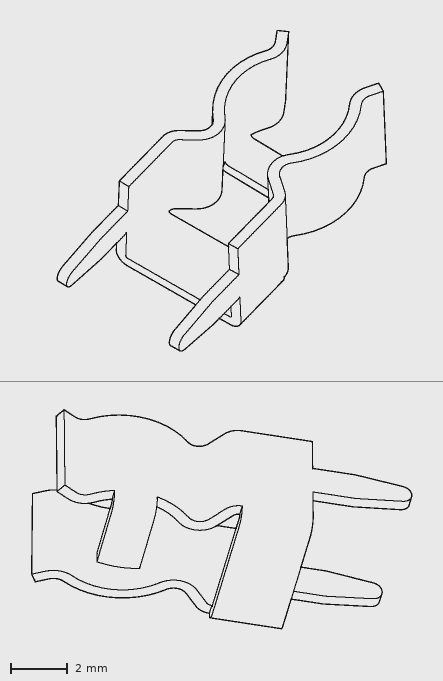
import cadquery as cq
import math

sheet = 0.42
body_width = 5.49
base_length = 2.56
base_bend_radius = 0.5
wall_lean = 2.0
wall_height = 3.88

grip_radius = 2.5
grip_y = 6.35
left_grip_inset = 0.08
right_grip_inset = 0.035
neck_radius = 0.5
rear_neck_drop = 2.39
mouth_neck_rise = 1.84
shoulder_radius = 0.7
lip_angle = 30.0
mouth_y = 9.10

pin_length = 3.57
pin_straight = 1.54
pin_width = 1.22
pin_tip_radius = 0.39
pin_height = 1.89

tab_width = 1.54
tab_bend_radius = 0.67
tab_end_x = 0.42

wall_x = -body_width / 2
hinge_x = wall_x + base_bend_radius
hinge_z = base_bend_radius
grip_outer_radius = grip_radius + sheet
neck_outer_radius = neck_radius + sheet


def polar(center, radius, degrees):
    """Point at a distance and direction from a centre."""
    angle = math.radians(degrees)
    return (center[0] + radius * math.cos(angle), center[1] + radius * math.sin(angle))


def arm_bends(grip_inset):
    """Plan-view bends of an arm, at the left: the shoulder, then the three that run on from each other.

    Each is (center, outer face radius, inner face radius, start angle, end angle).
    """
    grip_x = wall_x + grip_inset + grip_outer_radius
    center_distance = grip_outer_radius + neck_radius
    rear_turn = math.asin(rear_neck_drop / center_distance)
    mouth_turn = math.asin(mouth_neck_rise / center_distance)
    rear_center = (grip_x - center_distance * math.cos(rear_turn), grip_y - rear_neck_drop)
    mouth_center = (grip_x - center_distance * math.cos(mouth_turn), grip_y + mouth_neck_rise)
    rear_turn = math.degrees(rear_turn)
    mouth_turn = math.degrees(mouth_turn)

    shoulder_center = (wall_x + shoulder_radius, base_length)
    run_x = rear_center[0] - shoulder_center[0]
    run_y = rear_center[1] - shoulder_center[1]
    flank_tilt = math.asin((shoulder_radius + neck_radius) / math.hypot(run_x, run_y))
    flank_angle = math.degrees(flank_tilt + math.atan2(run_x, run_y))

    shoulder_bend = (shoulder_center, shoulder_radius, shoulder_radius - sheet, 180, 180 - flank_angle)
    chain = [
        (rear_center, neck_radius, neck_outer_radius, -flank_angle, rear_turn),
        ((grip_x, grip_y), grip_outer_radius, grip_radius, 180 + rear_turn, 180 - mouth_turn),
        (mouth_center, neck_radius, neck_outer_radius, -mouth_turn, lip_angle),
    ]
    return shoulder_bend, chain


def add_arc(path, center, radius, start, end):
    """Continue a path, already at the arc's start, along the arc."""
    return path.threePointArc(polar(center, radius, (start + end) / 2), polar(center, radius, end))


def wall_and_arm(grip_inset):
    """Left wall, upright on Z = 0, with the curved arm that carries on from it."""
    shoulder_bend, chain = arm_bends(grip_inset)
    shoulder_center, shoulder_outer, shoulder_inner, shoulder_start, shoulder_end = shoulder_bend
    rear_center, rear_outer, _, rear_start, _ = chain[0]
    mouth_center, _, mouth_inner, _, _ = chain[-1]
    lip_start = polar(mouth_center, mouth_inner, lip_angle)
    lip_length = (mouth_y - lip_start[1]) / math.cos(math.radians(lip_angle))
    lip_inner = polar(lip_start, lip_length, 90 + lip_angle)
    lip_outer = polar(lip_inner, sheet, 180 + lip_angle)

    path = cq.Workplane("XY").moveTo(wall_x, 0)
    path = path.lineTo(*polar(shoulder_center, shoulder_outer, shoulder_start))
    path = add_arc(path, shoulder_center, shoulder_outer, shoulder_start, shoulder_end)
    path = path.lineTo(*polar(rear_center, rear_outer, rear_start))
    for center, outer, _, start, end in chain:
        path = add_arc(path, center, outer, start, end)
    path = path.lineTo(*lip_outer)

    path = path.lineTo(*lip_inner).lineTo(*lip_start)
    for center, _, inner, start, end in reversed(chain):
        path = add_arc(path, center, inner, end, start)
    path = path.lineTo(*polar(shoulder_center, shoulder_inner, shoulder_end))
    path = add_arc(path, shoulder_center, shoulder_inner, shoulder_end, shoulder_start)
    return path.lineTo(wall_x + sheet, 0).close().extrude(wall_height)


def pin():
    """Tapered, round-ended solder pin in the plane of the left wall."""
    half_width = pin_width / 2
    tip_center = (pin_tip_radius - pin_length, pin_height)
    run = pin_length - pin_straight - pin_tip_radius
    taper = math.atan2(half_width, run) - math.asin(pin_tip_radius / math.hypot(run, half_width))
    taper = math.degrees(taper)
    upper_tangent = polar(tip_center, pin_tip_radius, 90 + taper)
    lower_tangent = polar(tip_center, pin_tip_radius, 270 - taper)
    tip = polar(tip_center, pin_tip_radius, 180)
    return (
        cq.Workplane("YZ", origin=(wall_x, 0, 0))
        .moveTo(0, pin_height + half_width)
        .lineTo(-pin_straight, pin_height + half_width)
        .lineTo(*upper_tangent)
        .threePointArc(tip, lower_tangent)
        .lineTo(-pin_straight, pin_height - half_width)
        .lineTo(0, pin_height - half_width)
        .close()
        .extrude(sheet)
    )


def tab():
    """Tongue folded inward from the foot of the grip; it keeps the grip's arched section."""
    half_width = tab_width / 2
    outer_sag = grip_outer_radius - math.sqrt(grip_outer_radius ** 2 - half_width ** 2)
    inner_sag = grip_radius - math.sqrt(grip_radius ** 2 - half_width ** 2)
    fold_x = wall_x + left_grip_inset + tab_bend_radius

    def section():
        """Arched section hanging below the fold axis; first axis is Y, second is Z."""
        bottom = -tab_bend_radius
        return (
            cq.Workplane("YZ", origin=(fold_x, grip_y, 0))
            .moveTo(-half_width, bottom + outer_sag)
            .threePointArc((0, bottom), (half_width, bottom + outer_sag))
            .lineTo(half_width, bottom + sheet + inner_sag)
            .threePointArc((0, bottom + sheet), (-half_width, bottom + sheet + inner_sag))
            .close()
        )

    fold = section().revolve(90, (0, 0), (1, 0))
    tongue = section().extrude(tab_end_x - fold_x)
    return fold.union(tongue)


def lean(upright):
    """Tilt a left wall inward about the axis of its base bend."""
    return upright.rotate((hinge_x, 0, hinge_z), (hinge_x, 1, hinge_z), wall_lean)


def base_bend():
    """Bend joining the base to the left wall."""
    center = (hinge_x, hinge_z)
    inner_radius = base_bend_radius - sheet
    start = 180 - wall_lean
    middle = (start + 270) / 2
    return (
        cq.Workplane("XZ")
        .moveTo(*polar(center, base_bend_radius, start))
        .threePointArc(polar(center, base_bend_radius, middle), polar(center, base_bend_radius, 270))
        .lineTo(*polar(center, inner_radius, 270))
        .threePointArc(polar(center, inner_radius, middle), polar(center, inner_radius, start))
        .close()
        .extrude(-base_length)
    )


def base():
    """Flat strip between the two base bends."""
    flat_width = -2 * hinge_x
    return cq.Workplane("XY").box(flat_width, base_length, sheet, centered=(True, False, False))


def side(grip_inset, with_tab):
    """Leaning wall with its arm, pin and base bend, at the left of the base."""
    upright = wall_and_arm(grip_inset).union(pin())
    if with_tab:
        upright = upright.union(tab())
    return lean(upright.translate((0, 0, hinge_z))).union(base_bend())


left_side = side(left_grip_inset, with_tab=True)
right_side = side(right_grip_inset, with_tab=False).mirror("YZ")
result = base().union(left_side).union(right_side)